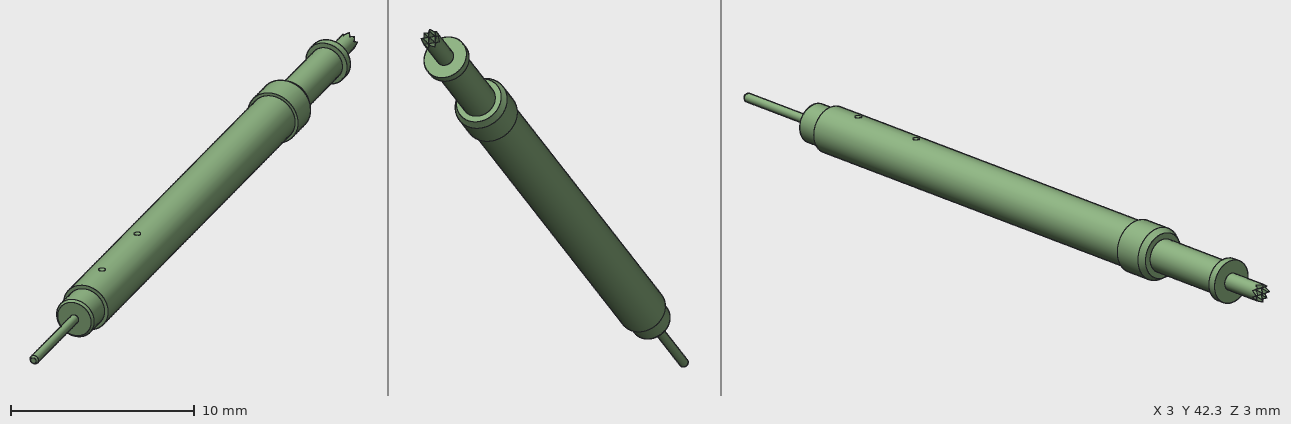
import cadquery as cq

overall_length = 42.3

pin_diameter = 0.5
tail_diameter = 2.25
barrel_diameter = 2.65
collar_diameter = 3.0
plunger_diameter = 1.9
flange_diameter = 2.45
head_diameter = 0.97

pin_length = 5.5
tail_length = 1.52
barrel_length = 25.05
collar_length = 2.07
plunger_length = 5.1
flange_length = 0.45

pin_chamfer_length = 0.13
pin_chamfer_depth = 0.1
tail_chamfer = 0.13
collar_taper_length = 0.4
collar_taper_depth = 0.2

grooves_per_direction = 2
groove_width = 0.4
groove_depth = 0.35

dent_diameter = 0.4
dent_depth = 0.13
dent_positions = (9.2, 13.9)

tail_start = pin_length
barrel_start = tail_start + tail_length
collar_start = barrel_start + barrel_length
plunger_start = collar_start + collar_length
flange_start = plunger_start + plunger_length
head_start = flange_start + flange_length


def make_body():
    """Revolve the stepped half profile about the Y axis."""
    pin_radius = pin_diameter / 2
    tail_radius = tail_diameter / 2
    barrel_radius = barrel_diameter / 2
    collar_radius = collar_diameter / 2
    plunger_radius = plunger_diameter / 2
    flange_radius = flange_diameter / 2
    head_radius = head_diameter / 2
    profile = [
        (0, 0),
        (pin_radius - pin_chamfer_depth, 0),
        (pin_radius, pin_chamfer_length),
        (pin_radius, tail_start),
        (tail_radius - tail_chamfer, tail_start),
        (tail_radius, tail_start + tail_chamfer),
        (tail_radius, barrel_start),
        (barrel_radius, barrel_start),
        (barrel_radius, collar_start),
        (collar_radius, collar_start),
        (collar_radius, plunger_start - collar_taper_length),
        (collar_radius - collar_taper_depth, plunger_start),
        (plunger_radius, plunger_start),
        (plunger_radius, flange_start),
        (flange_radius, flange_start),
        (flange_radius, head_start),
        (head_radius, head_start),
        (head_radius, overall_length),
        (0, overall_length),
    ]
    return cq.Workplane("XY").polyline(profile).close().revolve(360, (0, 0, 0), (0, 1, 0))


def make_groove(offset):
    """V-groove across the head end, running along Z, centred at X = offset."""
    section = [
        (offset - groove_width / 2, overall_length),
        (offset, overall_length - groove_depth),
        (offset + groove_width / 2, overall_length),
    ]
    return cq.Workplane("XY").polyline(section).close().extrude(head_diameter, both=True)


def make_dent(position):
    """Ball that presses a shallow round dent into the top of the barrel."""
    ball_radius = ((dent_diameter / 2) ** 2 + dent_depth**2) / (2 * dent_depth)
    ball_height = barrel_diameter / 2 - dent_depth + ball_radius
    return cq.Workplane("XY").sphere(ball_radius).translate((0, position, ball_height))


result = make_body()

for index in range(grooves_per_direction):
    groove = make_groove((index - (grooves_per_direction - 1) / 2) * groove_width)
    result = result.cut(groove)
    result = result.cut(groove.rotate((0, 0, 0), (0, 1, 0), 90))

for dent_position in dent_positions:
    result = result.cut(make_dent(dent_position))